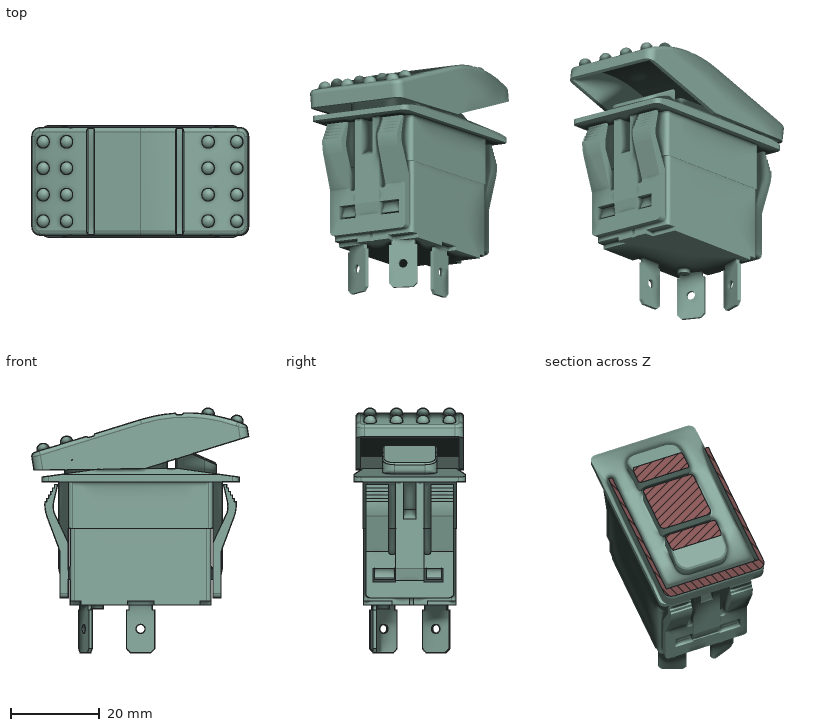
import cadquery as cq
import math


FLANGE_HALF_X = 22.25
FLANGE_HALF_Y = 12.6
FLANGE_CREST = 3.0
FLANGE_CREST_HALF_X = 8.85
FLANGE_CREST_HALF_Y = 10.6
FLANGE_END_HEIGHT = 1.1
FLANGE_SIDE_HEIGHT = 1.65
FLANGE_CORNER = 1.55

BARREL_HALF_X = 16.3
BARREL_HALF_Y = 10.55
BARREL_CORNER = 1.0
BARREL_SPLIT_Z = -10.5
BARREL_BOTTOM_Z = -27.75
CASE_HALF_X = BARREL_HALF_X - 0.4
CASE_HALF_Y = BARREL_HALF_Y - 0.1

NOTCH_HEIGHT = 0.9
CORNER_NOTCH_X = 2.5
CORNER_NOTCH_INNER_Y = 4.0
SIDE_NOTCH_WIDTH = 5.95
SIDE_NOTCH_DEPTH = 2.0
END_GROOVE_WIDTH = 1.0
END_GROOVE_DEPTH = 0.35
END_GROOVE_Y = 0.4

PEDESTAL_INNER_X = 7.85
PEDESTAL_OUTER_X = 17.1
PEDESTAL_HALF_Y = 6.1
PEDESTAL_OUTER_HEIGHT = 4.2
PEDESTAL_SLOPE = 24.0
PEDESTAL_CORNER = 2.65
PEDESTAL_INNER_BEVEL = 0.4
PEDESTAL_TOP_BEVEL = 0.35
POST_HALF_X = 6.0
POST_HEIGHT = 6.6
POST_CORNER = 1.0

CLIP_OUTER_X = 18.15
CLIP_HALF_Y = 9.9
CLIP_BOTTOM_Z = -26.1
CLIP_BOTTOM_RADIUS = 0.95
FINGER_INNER_Y = 4.75
FINGER_ROOT_Z = -15.7
FINGER_TOP_Z = -0.55
FINGER_KNEE_X = 21.6
FINGER_KNEE_Z = -4.45
FINGER_TIP_X = 19.4
FINGER_TIP_INNER_X = 18.65
FINGER_KNEE_MIDDLE = (21.5, -6.05)
FINGER_KNEE_END = (21.15, -7.7)
FINGER_INNER_KNEE = [(19.55, -4.4), (19.65, -5.65), (19.5, -6.9)]
FINGER_INNER_ROOT_Z = -13.8
TOOTH_COUNT = 5
SLIT_EXTRA_DEPTH = 0.7
SLIT_ROUND = 0.65

RIB_OUTER_X = 18.45
RIB_HALF_Y = 3.2
RIB_FOOT_TOP_Z = -19.5
RIB_FOOT_BOTTOM_Z = -22.2
RIB_FOOT_X = CLIP_OUTER_X - 0.3
RIB_SLOT_WIDTH = 2.9
RIB_SLOT_DEPTH = 3.7
RIB_SLOT_BOTTOM_Z = -8.4
RIB_SLOT_RAMP_Z = -6.25

WINDOW_Z = (-22.6, -19.5)
WINDOWS_Y = [(RIB_HALF_Y, 7.5), (-8.3, -RIB_HALF_Y)]
CATCHES_Y = [(3.8, 7.1), (-7.9, -3.4)]
CATCH_TOP_Z = -19.0
CATCH_EDGE_Z = -21.7
CATCH_BOTTOM_Z = -22.0
CATCH_REACH_X = 17.4

BLADE_WIDTH = 6.4
BLADE_THICKNESS = 0.85
BLADE_TIP_Z = -38.5
BLADE_SHOULDER_Z = -28.8
BLADE_NECK_WIDTH = 5.3
BLADE_NECK_TOP_Z = -26.0
BLADE_CHAMFER = 0.95
BLADE_HOLE_D = 2.0
BLADE_HOLE_Z = -33.1
SIDE_BLADE_Y = -7.9
END_BLADE_X = -12.4
END_BLADE_Y = 5.95
END_BLADE_TURN = 21.0
STUD_D = 2.8
STUD_X = -9.75
STUD_HEIGHT = 0.85

ROCKER_TILT = 9.0
ROCKER_SLOPE = 8.2
ROCKER_PIVOT_X = 0.95
ROCKER_PIVOT_Z = 3.0
ROCKER_LEFT = -24.7
ROCKER_RIGHT = 24.3
ROCKER_HALF_Y = 12.15
ROCKER_CROWN_RADIUS = 34.55
ROCKER_CROWN_X = 5.7
ROCKER_CROWN_Z = 11.4
ROCKER_CORNER = 2.0
ROCKER_EDGE = 1.0
ROCKER_WALL = 1.0
GROOVE_PLACES = [-10.9, 9.7]
GROOVE_WIDTH = 1.95
GROOVE_FLOOR = 1.3
GROOVE_DEPTH = 0.4
DOME_D = 2.85
DOME_COLUMNS = [-21.9, -16.45, 16.0, 22.15]
DOME_PITCH_Y = 5.95
DOME_ROWS = 4

SPARE = 0.55


def box(x_range, y_range, z_range):
    """Box between the given limits; each range is (one end, other end)."""
    spans = [sorted(r) for r in (x_range, y_range, z_range)]
    sizes = [high - low for low, high in spans]
    corner = tuple(low for low, high in spans)
    return cq.Workplane("XY").box(*sizes, centered=False).translate(corner)


def prism(points, y_range):
    """Straight-sided XZ outline extruded over a range of Y."""
    low, high = sorted(y_range)
    return cq.Workplane("XZ", origin=(0, high, 0)).polyline(points).close().extrude(high - low)


def both_ends(shape):
    """A feature of the +X end together with its mirror image at the -X end."""
    return shape.union(shape.mirror("YZ"))



def make_flange():
    """Plate with rounded corners whose top falls away to the ends and the sides."""
    plate = (
        cq.Workplane("XY")
        .rect(2 * FLANGE_HALF_X, 2 * FLANGE_HALF_Y)
        .extrude(FLANGE_CREST)
        .edges("|Z")
        .fillet(FLANGE_CORNER)
    )
    end_roof = prism(
        [
            (-FLANGE_HALF_X, 0),
            (FLANGE_HALF_X, 0),
            (FLANGE_HALF_X, FLANGE_END_HEIGHT),
            (FLANGE_CREST_HALF_X, FLANGE_CREST),
            (-FLANGE_CREST_HALF_X, FLANGE_CREST),
            (-FLANGE_HALF_X, FLANGE_END_HEIGHT),
        ],
        (-FLANGE_HALF_Y, FLANGE_HALF_Y),
    )
    side_roof = (
        cq.Workplane("YZ")
        .polyline(
            [
                (-FLANGE_HALF_Y, 0),
                (FLANGE_HALF_Y, 0),
                (FLANGE_HALF_Y, FLANGE_SIDE_HEIGHT),
                (FLANGE_CREST_HALF_Y, FLANGE_CREST),
                (-FLANGE_CREST_HALF_Y, FLANGE_CREST),
                (-FLANGE_HALF_Y, FLANGE_SIDE_HEIGHT),
            ]
        )
        .close()
        .extrude(FLANGE_HALF_X, both=True)
    )
    return plate.intersect(end_roof).intersect(side_roof)


def make_barrel():
    """Upper barrel and the slightly slimmer case below it."""
    def block(half_x, half_y, top, bottom):
        body = box((-half_x, half_x), (-half_y, half_y), (bottom, top))
        return body.edges("|Z").fillet(BARREL_CORNER)

    upper = block(BARREL_HALF_X, BARREL_HALF_Y, 0, BARREL_SPLIT_Z)
    lower = block(CASE_HALF_X, CASE_HALF_Y, BARREL_SPLIT_Z, BARREL_BOTTOM_Z)
    return upper.union(lower)


def make_rim_cuts():
    """Notches in the bottom rim, at each corner and mid-way along the -Y side, plus end grooves."""
    notch_z = (BARREL_BOTTOM_Z - SPARE, BARREL_BOTTOM_Z + NOTCH_HEIGHT)
    half_width = SIDE_NOTCH_WIDTH / 2
    cuts = box(
        (-half_width, half_width),
        (-CASE_HALF_Y - SPARE, -CASE_HALF_Y + SIDE_NOTCH_DEPTH),
        notch_z,
    )
    for side in (-1, 1):
        corner = box(
            (CASE_HALF_X - CORNER_NOTCH_X, CASE_HALF_X + SPARE),
            (side * CORNER_NOTCH_INNER_Y, side * (CASE_HALF_Y + SPARE)),
            notch_z,
        )
        cuts = cuts.union(both_ends(corner))
    groove = box(
        (CASE_HALF_X - END_GROOVE_DEPTH, CASE_HALF_X + SPARE),
        (END_GROOVE_Y - END_GROOVE_WIDTH / 2, END_GROOVE_Y + END_GROOVE_WIDTH / 2),
        (BARREL_BOTTOM_Z - SPARE, CLIP_BOTTOM_Z),
    )
    return cuts.union(both_ends(groove))


def make_supports():
    """Two sloped pedestals and the post between them, rising from the flange."""
    rise = (PEDESTAL_OUTER_X - PEDESTAL_INNER_X) * math.tan(math.radians(PEDESTAL_SLOPE))
    pedestal = prism(
        [
            (PEDESTAL_INNER_X, 0),
            (PEDESTAL_OUTER_X, 0),
            (PEDESTAL_OUTER_X, PEDESTAL_OUTER_HEIGHT),
            (PEDESTAL_INNER_X, PEDESTAL_OUTER_HEIGHT + rise),
        ],
        (-PEDESTAL_HALF_Y, PEDESTAL_HALF_Y),
    )
    pedestal = pedestal.edges("|Z and >X").fillet(PEDESTAL_CORNER)
    pedestal = pedestal.edges("|Z and <X").chamfer(PEDESTAL_INNER_BEVEL)
    pedestal = pedestal.faces(">Z").edges().chamfer(PEDESTAL_TOP_BEVEL)
    post = box((-POST_HALF_X, POST_HALF_X), (-PEDESTAL_HALF_Y, PEDESTAL_HALF_Y), (0, POST_HEIGHT))
    post = post.edges("|Z").fillet(POST_CORNER)
    return both_ends(pedestal).union(post)


def make_finger(y_range):
    """Sprung finger: root on the clip plate, a rounded knee, and a toothed tip."""
    low, high = sorted(y_range)
    inner_top, inner_middle, inner_end = FINGER_INNER_KNEE
    tooth_x = (FINGER_KNEE_X - FINGER_TIP_X) / TOOTH_COUNT
    tooth_z = (FINGER_TOP_Z - FINGER_KNEE_Z) / TOOTH_COUNT
    outline = (
        cq.Workplane("XZ", origin=(0, high, 0))
        .moveTo(BARREL_HALF_X, FINGER_ROOT_Z)
        .lineTo(CLIP_OUTER_X, FINGER_ROOT_Z)
        .lineTo(*FINGER_KNEE_END)
        .threePointArc(FINGER_KNEE_MIDDLE, (FINGER_KNEE_X, FINGER_KNEE_Z))
    )
    for tooth in range(1, TOOTH_COUNT + 1):
        tooth_face_x = FINGER_KNEE_X - tooth * tooth_x
        outline = outline.lineTo(tooth_face_x, FINGER_KNEE_Z + (tooth - 1) * tooth_z)
        outline = outline.lineTo(tooth_face_x, FINGER_KNEE_Z + tooth * tooth_z)
    return (
        outline.lineTo(FINGER_TIP_INNER_X, FINGER_TOP_Z)
        .lineTo(*inner_top)
        .threePointArc(inner_middle, inner_end)
        .lineTo(BARREL_HALF_X, FINGER_INNER_ROOT_Z)
        .close()
        .extrude(high - low)
    )


def make_clip():
    """Clip of the +X end: plate with two windows, two fingers and a middle rib."""
    clip = box((BARREL_HALF_X, CLIP_OUTER_X), (-CLIP_HALF_Y, CLIP_HALF_Y), (CLIP_BOTTOM_Z, FINGER_ROOT_Z))
    clip = clip.edges("|X and <Z").fillet(CLIP_BOTTOM_RADIUS)
    for side in (-1, 1):
        clip = clip.union(make_finger((side * FINGER_INNER_Y, side * CLIP_HALF_Y)))
        clip = clip.cut(
            box(
                (BARREL_HALF_X, CLIP_OUTER_X),
                (side * RIB_HALF_Y, side * FINGER_INNER_Y),
                (FINGER_ROOT_Z - SLIT_EXTRA_DEPTH, FINGER_ROOT_Z),
            )
            .edges("|X and <Z")
            .fillet(SLIT_ROUND)
        )
    rib = box((BARREL_HALF_X, RIB_OUTER_X), (-RIB_HALF_Y, RIB_HALF_Y), (RIB_FOOT_BOTTOM_Z, 0))
    foot_cut = prism(
        [(RIB_OUTER_X, RIB_FOOT_TOP_Z), (RIB_FOOT_X, RIB_FOOT_BOTTOM_Z), (RIB_OUTER_X, RIB_FOOT_BOTTOM_Z)],
        (-RIB_HALF_Y, RIB_HALF_Y),
    )
    clip = clip.union(rib).cut(foot_cut)
    for window_y in WINDOWS_Y:
        clip = clip.cut(box((BARREL_HALF_X, CLIP_OUTER_X), window_y, WINDOW_Z))
    return clip


def make_catch(y_range):
    """Blunt wedge on the case end wall that latches in a clip window."""
    return prism(
        [
            (CASE_HALF_X, CATCH_TOP_Z),
            (CATCH_REACH_X, CATCH_EDGE_Z),
            (CATCH_REACH_X, CATCH_BOTTOM_Z),
            (CASE_HALF_X, CATCH_BOTTOM_Z),
        ],
        y_range,
    )


def make_rib_slot():
    """Slot in the rib just under the flange, with a ramp for its floor."""
    inner_x = RIB_OUTER_X - RIB_SLOT_DEPTH
    return prism(
        [(inner_x, 0), (RIB_OUTER_X, 0), (RIB_OUTER_X, RIB_SLOT_BOTTOM_Z), (inner_x, RIB_SLOT_RAMP_Z)],
        (-RIB_SLOT_WIDTH / 2, RIB_SLOT_WIDTH / 2),
    )


def make_blade():
    """Blade terminal standing in the XZ plane, with a narrow neck that enters the case."""
    blade = (
        box(
            (-BLADE_WIDTH / 2, BLADE_WIDTH / 2),
            (-BLADE_THICKNESS / 2, BLADE_THICKNESS / 2),
            (BLADE_TIP_Z, BLADE_SHOULDER_Z),
        )
        .edges("|Y and <Z")
        .chamfer(BLADE_CHAMFER)
    )
    neck = box(
        (-BLADE_NECK_WIDTH / 2, BLADE_NECK_WIDTH / 2),
        (-BLADE_THICKNESS / 2, BLADE_THICKNESS / 2),
        (BLADE_SHOULDER_Z, BLADE_NECK_TOP_Z),
    )
    hole = (
        cq.Workplane("XZ")
        .center(0, BLADE_HOLE_Z)
        .circle(BLADE_HOLE_D / 2)
        .extrude(BLADE_THICKNESS, both=True)
    )
    return blade.union(neck).cut(hole)


def make_terminals():
    """One blade along the -Y side, two splayed blades at the -X end, and a short stud."""
    blade = make_blade()
    terminals = blade.translate((0, SIDE_BLADE_Y, 0))
    for side in (-1, 1):
        turned = blade.rotate((0, 0, 0), (0, 0, 1), side * (90 - END_BLADE_TURN))
        terminals = terminals.union(turned.translate((END_BLADE_X, side * END_BLADE_Y, 0)))
    stud = (
        cq.Workplane("XY", origin=(STUD_X, -END_BLADE_Y, BARREL_BOTTOM_Z))
        .circle(STUD_D / 2)
        .extrude(-STUD_HEIGHT)
    )
    return terminals.union(stud)


def make_housing():
    housing = make_flange().union(make_barrel()).cut(make_rim_cuts())
    housing = housing.union(make_supports()).union(both_ends(make_clip()))
    for catch_y in CATCHES_Y:
        housing = housing.union(both_ends(make_catch(catch_y)))
    return housing.cut(both_ends(make_rib_slot())).union(make_terminals())



SLOPE = math.radians(ROCKER_SLOPE)
CROWN_CENTRE_Z = ROCKER_CROWN_Z - ROCKER_CROWN_RADIUS


def rocker_top(x, inset=0.0):
    """Height of the top at x: a straight ramp that runs tangent into the crown arc."""
    radius = ROCKER_CROWN_RADIUS - inset
    tangent_x = ROCKER_CROWN_X - radius * math.sin(SLOPE)
    if x < tangent_x:
        return CROWN_CENTRE_Z + radius * math.cos(SLOPE) + (x - tangent_x) * math.tan(SLOPE)
    return CROWN_CENTRE_Z + math.sqrt(radius**2 - (x - ROCKER_CROWN_X) ** 2)


def top_slope(x):
    """Angle of the top at x, in degrees, positive where it climbs toward +X."""
    return min(ROCKER_SLOPE, math.degrees(math.asin((ROCKER_CROWN_X - x) / ROCKER_CROWN_RADIUS)))


def rocker_block(inset):
    """Solid rocker shape, drawn in from its ends, sides and top by the inset."""
    left = ROCKER_LEFT + inset
    right = ROCKER_RIGHT - inset
    tangent_x = ROCKER_CROWN_X - (ROCKER_CROWN_RADIUS - inset) * math.sin(SLOPE)
    middle_x = (tangent_x + right) / 2
    return (
        cq.Workplane("XZ")
        .moveTo(0, 0)
        .lineTo(right, right * math.tan(SLOPE))
        .lineTo(right, rocker_top(right, inset))
        .threePointArc(
            (middle_x, rocker_top(middle_x, inset)),
            (tangent_x, rocker_top(tangent_x, inset)),
        )
        .lineTo(left, rocker_top(left, inset))
        .lineTo(left, -left * math.tan(SLOPE))
        .close()
        .extrude(ROCKER_HALF_Y - inset, both=True)
    )


def make_grip_groove(x):
    """Groove with sloped walls across the whole top, square to the surface at x."""
    flare = (GROOVE_WIDTH - GROOVE_FLOOR) / 2 / GROOVE_DEPTH
    mouth = GROOVE_WIDTH / 2 + flare * SPARE
    groove = prism(
        [
            (-GROOVE_FLOOR / 2, -GROOVE_DEPTH),
            (GROOVE_FLOOR / 2, -GROOVE_DEPTH),
            (mouth, SPARE),
            (-mouth, SPARE),
        ],
        (-ROCKER_HALF_Y, ROCKER_HALF_Y),
    )
    return groove.rotate((0, 0, 0), (0, 1, 0), -top_slope(x)).translate((x, 0, rocker_top(x)))


def make_rocker():
    rocker = rocker_block(0).edges("|Z").fillet(ROCKER_CORNER)
    top_end = (ROCKER_LEFT, 0, rocker_top(ROCKER_LEFT))
    rocker = rocker.edges(cq.NearestToPointSelector(top_end)).fillet(ROCKER_EDGE)
    for x in DOME_COLUMNS:
        for row in range(DOME_ROWS):
            y = (row - (DOME_ROWS - 1) / 2) * DOME_PITCH_Y
            dome = cq.Workplane("XY").sphere(DOME_D / 2).translate((x, y, rocker_top(x)))
            rocker = rocker.union(dome)
    for x in GROOVE_PLACES:
        rocker = rocker.cut(make_grip_groove(x))
    rocker = rocker.cut(rocker_block(ROCKER_WALL))
    tilted = rocker.rotate((0, 0, 0), (0, 1, 0), -ROCKER_TILT)
    return tilted.translate((ROCKER_PIVOT_X, 0, ROCKER_PIVOT_Z))


housing = make_housing()
rocker = make_rocker()
result = cq.Compound.makeCompound([housing.solids().val(), rocker.solids().val()])